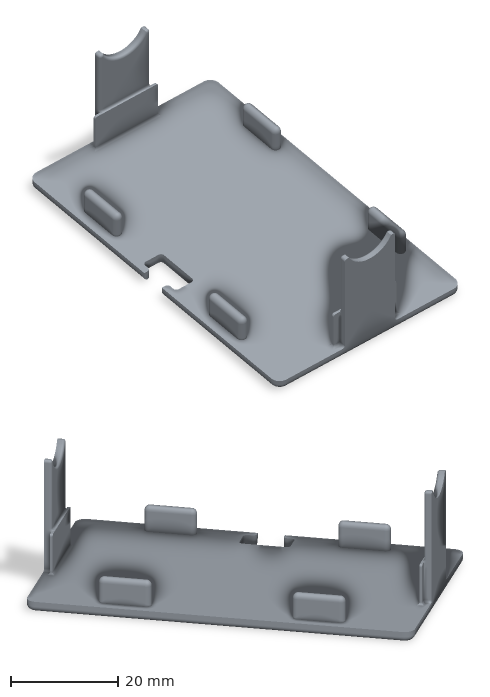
import cadquery as cq
import math

BoxSelector = cq.selectors.BoxSelector

plate_length = 74
plate_width = 44.0
plate_thickness = 2.0
plate_corner_radius = 2.0
plate_bottom_radius = plate_thickness / 2

edge_radius = 0.5

notch_depth = 6.0
notch_width = 9.8
notch_mouth_width = 5.2
notch_lip = 1.5
notch_corner_radius = 0.75

rib_length = 10.0
rib_thickness = 2.0
rib_height = 5.0
rib_spacing_x = 37
rib_edge_gap = 2.0
rib_spacing_y = plate_width - 2 * rib_edge_gap - rib_thickness
rib_end_radius = rib_thickness / 2

total_height = 24.05
upright_width = 12.05
upright_thickness = 1.5
saddle_radius = 5.7
saddle_depth = 3.0
tab_width = 15.0
tab_thickness = 0.5
tab_top = 10.0

plate_end = -plate_length / 2
upright_inner_face = plate_end + upright_thickness
clip_inner_face = upright_inner_face + tab_thickness
clip_bottom = plate_bottom_radius

margin = 0.1


def make_plate():
    plate = (
        cq.Workplane("XY")
        .box(plate_length, plate_width, plate_thickness, centered=(True, True, False))
        .edges("|Z")
        .fillet(plate_corner_radius)
        .faces("<Z")
        .edges()
        .fillet(plate_bottom_radius)
    )
    return plate.cut(make_notch())


def make_notch():
    front = -plate_width / 2
    half_width = notch_width / 2
    half_mouth = notch_mouth_width / 2
    half_profile = [
        (half_mouth, front),
        (half_mouth, front + notch_lip),
        (half_width, front + notch_lip),
        (half_width, front + notch_depth),
    ]
    other_half = [(-x, y) for x, y in reversed(half_profile)]
    return (
        cq.Workplane("XY")
        .polyline(half_profile + other_half)
        .close()
        .extrude(plate_thickness)
        .edges("|Z and (not <Y)")
        .fillet(notch_corner_radius)
    )


def make_rib():
    """Upright rib with half-round ends and a half-round top that closes in quarter spheres."""
    top_centre = plate_thickness + rib_height - rib_end_radius
    end_offset = rib_length / 2 - rib_end_radius
    rib = cq.Workplane("XY").slot2D(rib_length, rib_thickness).extrude(top_centre)
    crown = (
        cq.Workplane("YZ", origin=(-end_offset, 0, top_centre))
        .circle(rib_end_radius)
        .extrude(2 * end_offset)
    )
    rib = rib.union(crown)
    for x in (-end_offset, end_offset):
        rib = rib.union(cq.Workplane("XY", origin=(x, 0, top_centre)).sphere(rib_end_radius))
    return rib


def make_upright():
    """Upright flush with the -X end of the plate, with a saddle in its top.

    Its inner face curves outward to the top of the tab, and the sides of that face are rounded.
    """
    curve_start = tab_top + tab_thickness
    curve_offset = tab_thickness * math.sqrt(0.5)
    curve_middle = (clip_inner_face - curve_offset, curve_start - curve_offset)
    upright = (
        cq.Workplane("XZ", origin=(0, upright_width / 2, 0))
        .moveTo(plate_end, clip_bottom)
        .lineTo(plate_end, total_height)
        .lineTo(upright_inner_face, total_height)
        .lineTo(upright_inner_face, curve_start)
        .threePointArc(curve_middle, (clip_inner_face, tab_top))
        .lineTo(clip_inner_face, clip_bottom)
        .close()
        .extrude(upright_width)
    )
    saddle = (
        cq.Workplane("YZ", origin=(plate_end, 0, total_height - saddle_depth + saddle_radius))
        .circle(saddle_radius)
        .extrude(upright_thickness)
    )
    upright = upright.cut(saddle).edges("|X and >Z").edges(">Y or <Y").fillet(edge_radius)
    inner_outline = BoxSelector(
        (upright_inner_face - margin, -upright_width, tab_top),
        (clip_inner_face - margin, upright_width, total_height + margin),
    )
    return upright.edges(inner_outline).edges("not(|Y and <Z)").fillet(edge_radius)


def make_tab():
    """Wide tab against the inner face of the upright."""
    return (
        cq.Workplane("XY", origin=(upright_inner_face, 0, clip_bottom))
        .box(tab_thickness, tab_width, tab_top - clip_bottom, centered=(False, True, False))
        .edges("|X and >Z")
        .fillet(edge_radius)
    )


def add_end_clip(body):
    """Join an upright and its tab to the -X end of the body and round the foot of both."""
    body = body.union(make_upright()).union(make_tab())

    foot_reach = tab_width / 2 + margin
    foot_edges = BoxSelector(
        (plate_end - margin, -foot_reach, plate_thickness - margin),
        (clip_inner_face + margin, foot_reach, plate_thickness + margin),
    )
    return body.edges(foot_edges).fillet(edge_radius)


def add_ribs(body):
    for x in (-rib_spacing_x / 2, rib_spacing_x / 2):
        for y in (-rib_spacing_y / 2, rib_spacing_y / 2):
            body = body.union(make_rib().translate((x, y, 0)))
    return body


one_clip = add_end_clip(make_plate())
both_clips = add_end_clip(one_clip.mirror("YZ"))
result = add_ribs(both_clips)